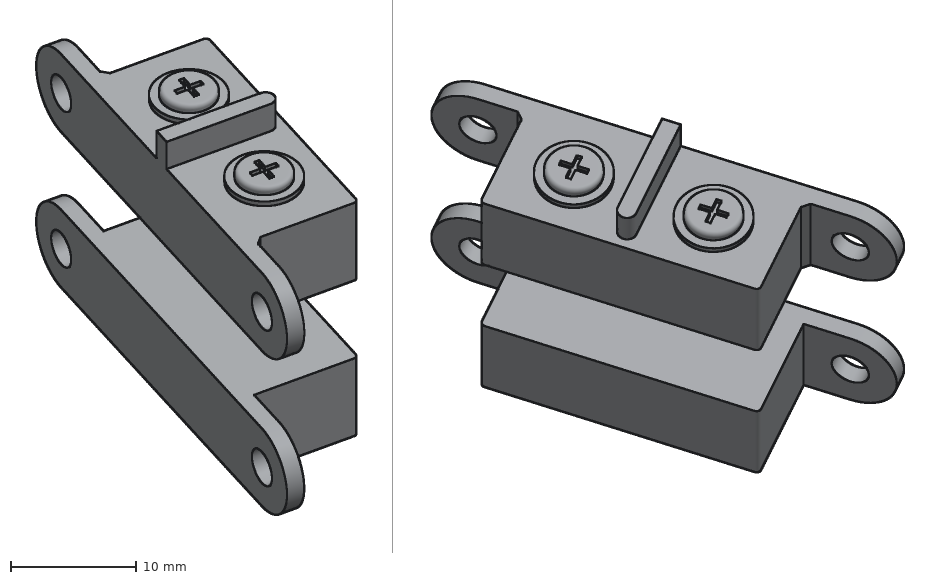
import cadquery as cq

length = 40.0
height = 8.0
flange_thickness = 1.6
hole_diameter = 3.2
hole_spacing = length - height
block_width = 24.0
depth = 11.2
corner_radius = 0.4

body_gap = 8.0
terminal_base = height + body_gap
terminal_top = terminal_base + height
root_chamfer = 0.6

rib_width = 1.6
rib_length = 10.4
rib_height = 2.8

screw_spacing = 12.0
screw_y = 6.0
washer_diameter = 6.4
washer_thickness = 0.5
head_diameter = 4.8
head_height = 0.72
head_fillet = 0.4
cross_length = 2.4
cross_width = 0.45
cross_depth = 0.4


def make_bracket(base_z):
    """Flange with mounting holes and a block, its front face at Y = 0."""
    mid_z = base_z + height / 2
    front = cq.Workplane("XZ", origin=(0, 0, mid_z))
    flange = front.slot2D(length, height).extrude(-flange_thickness)
    block = (
        cq.Workplane("XY", origin=(0, depth / 2, base_z))
        .rect(block_width, depth)
        .extrude(height)
        .edges("|Z and >Y")
        .fillet(corner_radius)
    )
    holes = (
        front.pushPoints([(-hole_spacing / 2, 0), (hole_spacing / 2, 0)])
        .circle(hole_diameter / 2)
        .extrude(-flange_thickness)
    )
    return flange.union(block).cut(holes)


def make_root_chamfer(side):
    """Triangular strip in the corner of block and flange; side is -1 or 1."""
    block_side = side * block_width / 2
    return (
        cq.Workplane("XY", origin=(0, 0, terminal_base))
        .moveTo(block_side, flange_thickness)
        .lineTo(block_side + side * root_chamfer, flange_thickness)
        .lineTo(block_side, flange_thickness + root_chamfer)
        .close()
        .extrude(height)
    )


def make_rib():
    """Divider wall with a full-round rear end."""
    half_width = rib_width / 2
    straight_length = rib_length - half_width
    return (
        cq.Workplane("XY", origin=(0, 0, terminal_top))
        .moveTo(-half_width, 0)
        .lineTo(half_width, 0)
        .lineTo(half_width, straight_length)
        .threePointArc((0, rib_length), (-half_width, straight_length))
        .close()
        .extrude(rib_height)
    )


def make_screw(x):
    """Washer and rounded screw head with a cross recess."""
    washer = (
        cq.Workplane("XY", origin=(x, screw_y, terminal_top))
        .circle(washer_diameter / 2)
        .extrude(washer_thickness)
    )
    head = (
        washer.faces(">Z")
        .workplane(centerOption="CenterOfMass")
        .circle(head_diameter / 2)
        .extrude(head_height, combine=False)
        .faces(">Z")
        .edges()
        .fillet(head_fillet)
    )
    head_top = terminal_top + washer_thickness + head_height
    recess_plane = cq.Workplane("XY", origin=(x, screw_y, head_top))
    recess = (
        recess_plane.rect(cross_length, cross_width)
        .extrude(-cross_depth)
        .union(recess_plane.rect(cross_width, cross_length).extrude(-cross_depth))
    )
    return washer.union(head).cut(recess)


def make_terminal_body():
    """Bracket with chamfered roots, divider rib and two screws."""
    body = make_bracket(terminal_base).union(make_rib())
    for side in (-1, 1):
        body = body.union(make_root_chamfer(side))
        body = body.union(make_screw(side * screw_spacing / 2))
    return body


plain_body = make_bracket(0)
terminal_body = make_terminal_body()

result = cq.Compound.makeCompound([plain_body.val(), terminal_body.val()])